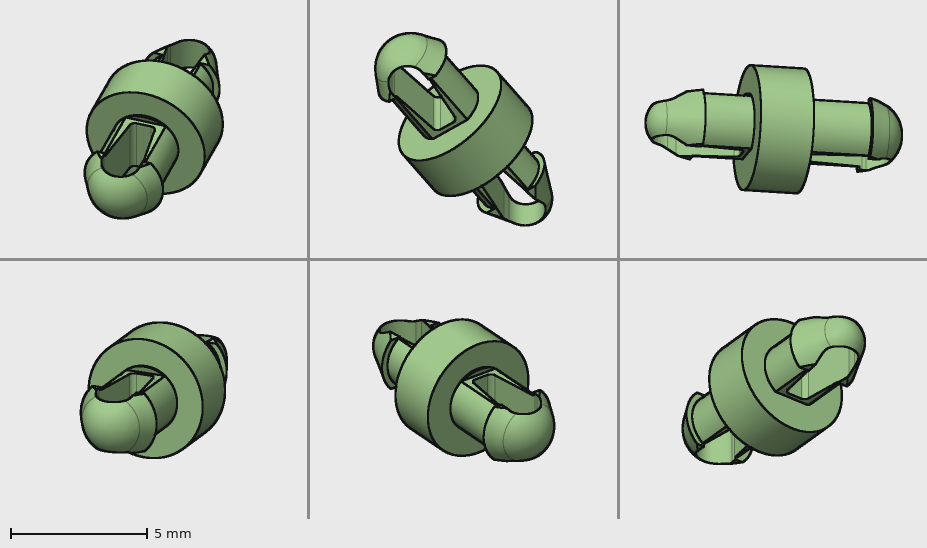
import cadquery as cq
import math

COLLAR_DIAMETER = 4.6
COLLAR_LENGTH = 2.0

REAR_STEM_RADIUS = 1.25
FRONT_STEM_RADIUS = 1.27
STEM_FLAT_HEIGHT = 1.0

REAR_HEAD_START = 1.9
REAR_TIP = 3.8
REAR_HEAD_RADIUS = 1.5
REAR_NOSE_RADIUS = 1.0
REAR_HEAD_FLAT_HEIGHT = 1.03

FRONT_HEAD_START = 2.4
FRONT_TIP = 3.81
FRONT_HEAD_RADIUS = 1.53
FRONT_NOSE_RADIUS = 1.31
FRONT_HEAD_FLAT_HEIGHT = 1.12

SLOT_START = 0.2
SLOT_START_HALF_WIDTH = 0.46
SLOT_HALF_WIDTH = 0.74
SLOT_TAPER_END = 2.5
SLOT_CORNER_RADIUS = 0.2
REAR_TIP_WALL = 0.235
FRONT_TIP_WALL = 0.43

WEDGE_PROTRUSION = 0.085


def flattened(body, half_height):
    """Keep the part of a body lying between two flats at +/- half_height in Z."""
    width = COLLAR_DIAMETER
    length = 2 * FRONT_TIP
    slab = cq.Workplane("XY").box(width, length, 2 * half_height)
    return body.intersect(slab)


def make_head(start, tip, head_radius, nose_radius, flat_height):
    """Cone running tangentially into a spherical nose, flattened above and below."""
    centre = tip - nose_radius
    to_centre = math.atan2(head_radius, centre - start)
    base_distance = math.hypot(head_radius, centre - start)
    cone_angle = to_centre - math.asin(nose_radius / base_distance)
    seam = (nose_radius * math.cos(cone_angle), centre + nose_radius * math.sin(cone_angle))
    mid_angle = (cone_angle + math.pi / 2) / 2
    arc_middle = (nose_radius * math.cos(mid_angle), centre + nose_radius * math.sin(mid_angle))
    head = (
        cq.Workplane("XY")
        .moveTo(0, start)
        .lineTo(head_radius, start)
        .lineTo(*seam)
        .threePointArc(arc_middle, (0, tip))
        .close()
        .revolve(360, (0, 0), (0, 1))
    )
    return flattened(head, flat_height)


def make_stem(length, radius):
    """Flattened round bar from the collar face outward."""
    stem = cq.Workplane("XZ").circle(radius).extrude(-length)
    return flattened(stem, STEM_FLAT_HEIGHT)


def make_slot(end):
    """Tapered slot with rounded inner corners and a round outer end."""
    round_start = end - SLOT_HALF_WIDTH
    slot = (
        cq.Workplane("XY")
        .workplane(offset=-COLLAR_DIAMETER / 2)
        .moveTo(-SLOT_START_HALF_WIDTH, SLOT_START)
        .lineTo(SLOT_START_HALF_WIDTH, SLOT_START)
        .lineTo(SLOT_HALF_WIDTH, SLOT_TAPER_END)
        .lineTo(SLOT_HALF_WIDTH, round_start)
        .threePointArc((0, end), (-SLOT_HALF_WIDTH, round_start))
        .lineTo(-SLOT_HALF_WIDTH, SLOT_TAPER_END)
        .close()
        .extrude(COLLAR_DIAMETER)
    )
    return slot.edges("|Z").edges("<Y").fillet(SLOT_CORNER_RADIUS)


def make_wedge(stem_radius):
    """Overhanging sliver of round stem, growing from nothing at the flat to its full protrusion."""
    triangle = (
        cq.Workplane("YZ")
        .moveTo(0, STEM_FLAT_HEIGHT)
        .lineTo(WEDGE_PROTRUSION, stem_radius)
        .lineTo(0, stem_radius)
        .close()
        .extrude(stem_radius, both=True)
    )
    bar = cq.Workplane("XZ").circle(stem_radius).extrude(-WEDGE_PROTRUSION)
    return triangle.intersect(bar)


def make_end(stem_radius, start, tip, head_radius, nose_radius, flat_height, tip_wall):
    """One complete snap end pointing along +Y, with its collar face on Y = 0."""
    head = make_head(start, tip, head_radius, nose_radius, flat_height)
    prongs = make_stem(start, stem_radius).union(head).cut(make_slot(tip - tip_wall))
    return prongs.union(make_wedge(stem_radius))


def make_collar():
    """Plain disc centred on Y = 0."""
    disc = cq.Workplane("XZ").circle(COLLAR_DIAMETER / 2).extrude(COLLAR_LENGTH)
    return disc.translate((0, COLLAR_LENGTH / 2, 0))


rear_end = make_end(
    stem_radius=REAR_STEM_RADIUS,
    start=REAR_HEAD_START,
    tip=REAR_TIP,
    head_radius=REAR_HEAD_RADIUS,
    nose_radius=REAR_NOSE_RADIUS,
    flat_height=REAR_HEAD_FLAT_HEIGHT,
    tip_wall=REAR_TIP_WALL,
).translate((0, COLLAR_LENGTH / 2, 0))

front_end = make_end(
    stem_radius=FRONT_STEM_RADIUS,
    start=FRONT_HEAD_START,
    tip=FRONT_TIP,
    head_radius=FRONT_HEAD_RADIUS,
    nose_radius=FRONT_NOSE_RADIUS,
    flat_height=FRONT_HEAD_FLAT_HEIGHT,
    tip_wall=FRONT_TIP_WALL,
).mirror("XZ").translate((0, -COLLAR_LENGTH / 2, 0))

result = make_collar().union(rear_end).union(front_end)